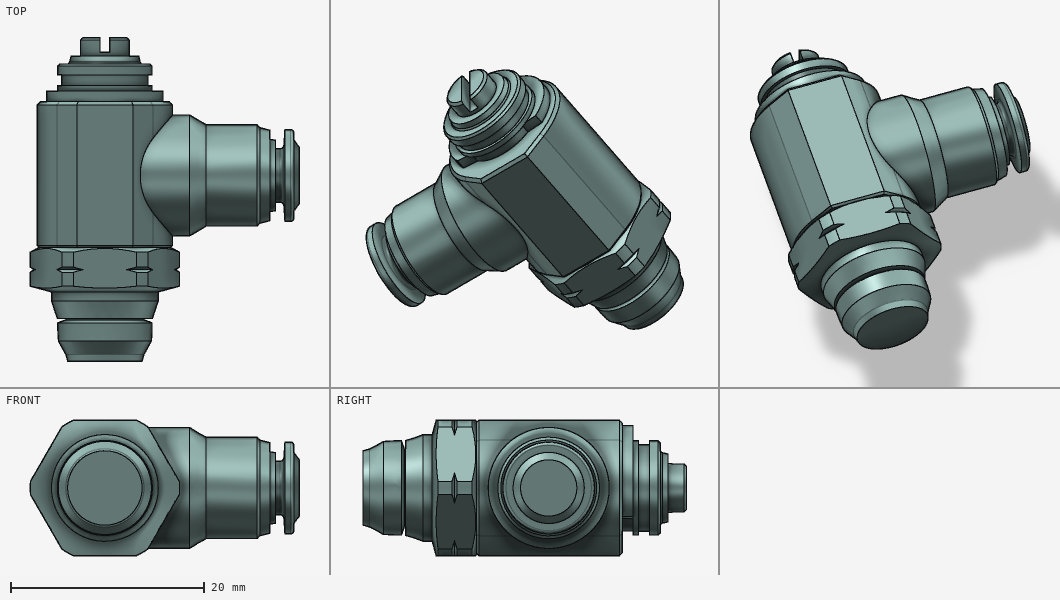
import cadquery as cq
import math


Y_PLUG_TIP = 0.7
Y_PLUG_LOW = 2.1
Y_PLUG_MID = 3.08
Y_PLUG_TOP = 4.0
Y_NECK_LOW = 4.3
Y_SLEEVE_LOW = 4.42
Y_SLEEVE_TOP = 6.23
Y_HEX_LOW = 7.17
Y_HEX_TOP = 11.75
Y_BODY_TOP = 26.87
Y_CLIP_TOP = 27.97
Y_GROOVE_LOW = 28.55
Y_GROOVE_TOP = 29.65
Y_SPIGOT_TOP = 30.8
Y_NUT_SHOULDER = 31.0
Y_NUT_TOP = 31.6
Y_SCREW_TOP = 33.5

PLUG_END_R = 3.85
PLUG_TIP_R = 4.05
PLUG_LOW_R = 4.82
PLUG_MID_R = 4.9
PLUG_TOP_R = 4.9
STUD_NECK_R = 4.05
SLEEVE_LOW_R = 4.92
STUD_R = 5.53

ACROSS_FLATS = 14.05
FLATS_TURN = 30.0
HEX_CORNER_R = 7.75
HEX_TOP_R = 6.87
HEX_LOW_BEVEL = 0.6
HEX_TOP_BEVEL = 0.47
HEX_NOTCH_Y = 9.48
HEX_NOTCH_DEPTH = 0.37
HEX_NOTCH_HALF_WIDTH = 0.27

BODY_R = ACROSS_FLATS / 2
BODY_LOW_CHAMFER = 0.25
BODY_TOP_CHAMFER = 0.35

CLIP_R = 6.03
CLIP_CENTER_Z = 0.47
CLIP_OUTER_END_Z = -2.95
CLIP_INNER_END_Z = -3.15

CORE_R = 4.5
SPIGOT_R = 4.9
SPIGOT_CHAMFER = 0.25
NUT_LOW_R = 3.8
NUT_SHOULDER_R = 3.65
NUT_TOP_R = 3.52
SCREW_R = 2.55
SCREW_CHAMFER = 0.27
SLOT_WIDTH = 1.0
SLOT_DEPTH = 1.5

BRANCH_Y = 19.23
X_SHOULDER = 8.78
X_BARREL = 10.5
X_BARREL_END = 15.75
X_COLLAR = 16.05
X_COLLAR_END = 17.1
X_RING_END = 17.7
X_FLANGE = 18.53
X_FLANGE_RIM = 18.63
X_FLANGE_FRONT = 19.55
X_BRANCH_END = 20.15
SHOULDER_R = 6.25
BARREL_R = 5.25
COLLAR_R = 4.95
COLLAR_END_R = 4.7
RING_R = 3.75
RING_END_R = 3.65
NECK_R = 2.78
NECK_FILLET = 0.4
FLANGE_R = 4.75
FLANGE_FILLET = 0.35
NOSE_R = 3.7
NOSE_END_R = 2.9


def turn_about_y(profile):
    """Revolve a closed (radius, y) profile about the Y axis."""
    return profile.close().revolve(360, (0, 0, 0), (0, 1, 0))


def extrude_along_y(profile, start, end):
    """Extrude a closed (x, z) profile, drawn on a plane facing -Y, from one y to another."""
    return profile.extrude(start - end).translate((0, start, 0))


def make_stud():
    profile = (
        cq.Workplane("XY")
        .moveTo(0, 0)
        .lineTo(PLUG_END_R, 0)
        .lineTo(PLUG_TIP_R, Y_PLUG_TIP)
        .lineTo(PLUG_LOW_R, Y_PLUG_LOW)
        .threePointArc((PLUG_MID_R, Y_PLUG_MID), (PLUG_TOP_R, Y_PLUG_TOP))
        .lineTo(STUD_NECK_R, Y_NECK_LOW)
        .lineTo(STUD_NECK_R, Y_SLEEVE_LOW)
        .lineTo(SLEEVE_LOW_R, Y_SLEEVE_LOW)
        .lineTo(STUD_R, Y_SLEEVE_TOP)
        .lineTo(STUD_R, Y_HEX_LOW)
        .lineTo(0, Y_HEX_LOW)
    )
    return turn_about_y(profile)


def make_hexagon():
    """Bevelled hexagon with flats facing +Z and -Z and a notch across each corner."""
    prism = extrude_along_y(
        cq.Workplane("XZ").polygon(6, ACROSS_FLATS, circumscribed=True), Y_HEX_LOW, Y_HEX_TOP
    ).rotate((0, 0, 0), (0, 1, 0), FLATS_TURN)
    notch_r = HEX_CORNER_R - HEX_NOTCH_DEPTH
    envelope = (
        cq.Workplane("XY")
        .moveTo(0, Y_HEX_LOW)
        .lineTo(STUD_R, Y_HEX_LOW)
        .lineTo(HEX_CORNER_R, Y_HEX_LOW + HEX_LOW_BEVEL)
        .lineTo(HEX_CORNER_R, HEX_NOTCH_Y - HEX_NOTCH_HALF_WIDTH)
        .lineTo(notch_r, HEX_NOTCH_Y)
        .lineTo(HEX_CORNER_R, HEX_NOTCH_Y + HEX_NOTCH_HALF_WIDTH)
        .lineTo(HEX_CORNER_R, Y_HEX_TOP - HEX_TOP_BEVEL)
        .lineTo(HEX_TOP_R, Y_HEX_TOP)
        .lineTo(0, Y_HEX_TOP)
    )
    return prism.intersect(turn_about_y(envelope))


def make_body():
    """Octagon above and below, with the side faces rounded to the inscribed circle."""
    corner = BODY_R * math.tan(math.pi / 8)
    tangent = BODY_R * math.sin(math.pi / 4)
    profile = (
        cq.Workplane("XZ")
        .moveTo(-corner, BODY_R)
        .lineTo(corner, BODY_R)
        .lineTo(tangent, tangent)
        .threePointArc((BODY_R, 0), (tangent, -tangent))
        .lineTo(corner, -BODY_R)
        .lineTo(-corner, -BODY_R)
        .lineTo(-tangent, -tangent)
        .threePointArc((-BODY_R, 0), (-tangent, tangent))
        .close()
    )
    body = extrude_along_y(profile, Y_HEX_TOP, Y_BODY_TOP)
    body = body.faces("<Y").chamfer(BODY_LOW_CHAMFER)
    return body.faces(">Y").chamfer(BODY_TOP_CHAMFER)


def make_clip():
    """Eccentric C-shaped clip around the core, open toward -Z."""
    disc = extrude_along_y(
        cq.Workplane("XZ").center(0, CLIP_CENTER_Z).circle(CLIP_R), Y_BODY_TOP, Y_CLIP_TOP
    )
    outer_x = math.sqrt(CLIP_R**2 - (CLIP_OUTER_END_Z - CLIP_CENTER_Z) ** 2)
    inner_x = math.sqrt(CORE_R**2 - CLIP_INNER_END_Z**2)
    opening = extrude_along_y(
        cq.Workplane("XZ").polyline(
            [
                (-outer_x, CLIP_OUTER_END_Z),
                (-inner_x, CLIP_INNER_END_Z),
                (inner_x, CLIP_INNER_END_Z),
                (outer_x, CLIP_OUTER_END_Z),
                (outer_x, -CLIP_R),
                (-outer_x, -CLIP_R),
            ]
        ).close(),
        Y_BODY_TOP,
        Y_CLIP_TOP,
    )
    return disc.cut(opening)


def make_top():
    """Core, spigot with its groove, locking nut and slotted adjusting screw."""
    profile = (
        cq.Workplane("XY")
        .moveTo(0, Y_BODY_TOP)
        .lineTo(CORE_R, Y_BODY_TOP)
        .lineTo(CORE_R, Y_CLIP_TOP)
        .lineTo(SPIGOT_R, Y_CLIP_TOP)
        .lineTo(SPIGOT_R, Y_GROOVE_LOW)
        .lineTo(CORE_R, Y_GROOVE_LOW)
        .lineTo(CORE_R, Y_GROOVE_TOP)
        .lineTo(SPIGOT_R, Y_GROOVE_TOP)
        .lineTo(SPIGOT_R, Y_SPIGOT_TOP - SPIGOT_CHAMFER)
        .lineTo(SPIGOT_R - SPIGOT_CHAMFER, Y_SPIGOT_TOP)
        .lineTo(NUT_LOW_R, Y_SPIGOT_TOP)
        .lineTo(NUT_SHOULDER_R, Y_NUT_SHOULDER)
        .lineTo(NUT_TOP_R, Y_NUT_TOP)
        .lineTo(SCREW_R, Y_NUT_TOP)
        .lineTo(SCREW_R, Y_SCREW_TOP - SCREW_CHAMFER)
        .lineTo(SCREW_R - SCREW_CHAMFER, Y_SCREW_TOP)
        .lineTo(0, Y_SCREW_TOP)
    )
    slot = cq.Workplane("XY").box(SLOT_WIDTH, 2 * SLOT_DEPTH, 2 * SCREW_R)
    return turn_about_y(profile).cut(slot.translate((0, Y_SCREW_TOP, 0)))


def make_branch():
    arc_dip = 1 - math.sqrt(0.5)
    fillet_x = X_FLANGE - NECK_FILLET
    flange_fillet_x = X_FLANGE_FRONT - FLANGE_FILLET
    profile = (
        cq.Workplane("XY")
        .moveTo(0, 0)
        .lineTo(0, SHOULDER_R)
        .lineTo(X_SHOULDER, SHOULDER_R)
        .lineTo(X_BARREL, BARREL_R)
        .lineTo(X_BARREL_END, BARREL_R)
        .lineTo(X_COLLAR, COLLAR_R)
        .lineTo(X_COLLAR_END, COLLAR_END_R)
        .lineTo(X_COLLAR_END, RING_R)
        .lineTo(X_RING_END, RING_END_R)
        .lineTo(X_RING_END, NECK_R)
        .lineTo(fillet_x, NECK_R)
        .threePointArc(
            (X_FLANGE - NECK_FILLET * arc_dip, NECK_R + NECK_FILLET * arc_dip),
            (X_FLANGE, NECK_R + NECK_FILLET),
        )
        .lineTo(X_FLANGE_RIM, FLANGE_R)
        .lineTo(flange_fillet_x, FLANGE_R)
        .threePointArc(
            (X_FLANGE_FRONT - FLANGE_FILLET * arc_dip, FLANGE_R - FLANGE_FILLET * arc_dip),
            (X_FLANGE_FRONT, FLANGE_R - FLANGE_FILLET),
        )
        .lineTo(X_FLANGE_FRONT, NOSE_R)
        .lineTo(X_BRANCH_END, NOSE_END_R)
        .lineTo(X_BRANCH_END, 0)
        .close()
    )
    return profile.revolve(360, (0, 0, 0), (1, 0, 0)).translate((0, BRANCH_Y, 0))


result = (
    make_body()
    .union(make_branch())
    .union(make_hexagon())
    .union(make_stud())
    .union(make_top())
    .union(make_clip())
)